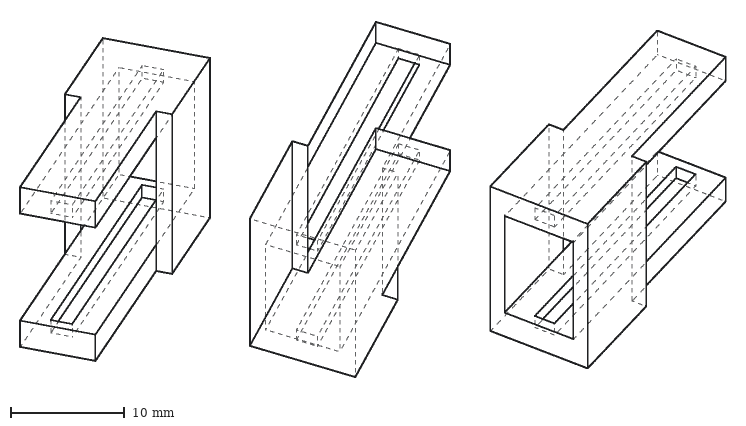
import cadquery as cq

width = 10.0
length = 26.0
height = 16.5

block_depth = 10.0
side_wall = 1.48
arm_thickness = 2.73
arm_width = width - 2 * side_wall
window_height = height - 2 * arm_thickness

slot_width = 2.0
slot_depth = 1.3
slot_end_wall = 1.0
slot_length = length - 2 * slot_end_wall


def make_block():
    """Rear block, centred on the X and Z axes with its back face at Y = length / 2."""
    block_center_y = (length - block_depth) / 2
    return cq.Workplane("XY").box(width, block_depth, height).translate((0, block_center_y, 0))


def make_arms():
    """Full-length bar from which the window leaves the upper and lower arms."""
    return cq.Workplane("XY").box(arm_width, length, height)


def make_window():
    """Opening between the arms, running through the block from front to back."""
    return cq.Workplane("XY").box(arm_width, length, window_height)


def make_slots():
    """One cutter that sinks matching slots into both arms across the window."""
    return cq.Workplane("XY").box(slot_width, slot_length, window_height + 2 * slot_depth)


result = make_block().union(make_arms()).cut(make_window()).cut(make_slots())